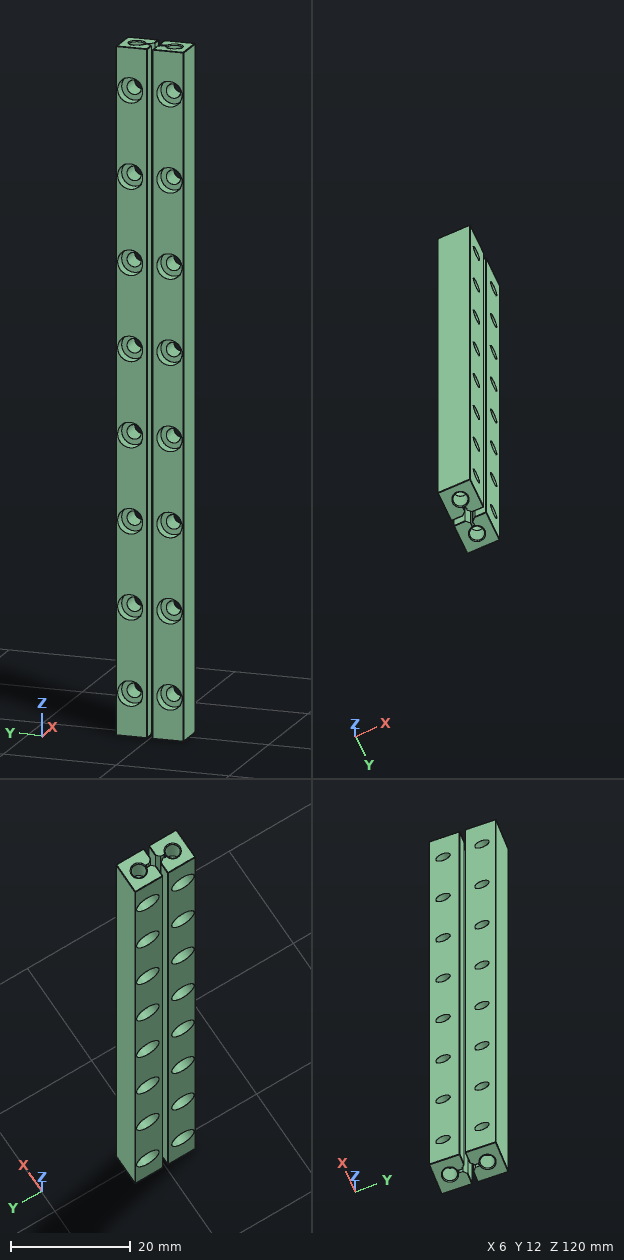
import cadquery as cq

LENGTH = 120.0
THICKNESS = 6.0
PAIR_WIDTH = 12.0
RAIL_GAP = 1.0
RAIL_WIDTH = (PAIR_WIDTH - RAIL_GAP) / 2
EDGE_CHAMFER = 0.1

OUTER_FACE_Y = -PAIR_WIDTH / 2
INNER_FACE_Y = -RAIL_GAP / 2

RACEWAY_MOUTH = 1.8
RACEWAY_DEPTH = RACEWAY_MOUTH / 2
RELIEF_WIDTH = 0.5
RELIEF_DEPTH = 1.3

HOLE_COUNT = 8
HOLE_PITCH = LENGTH / HOLE_COUNT
HOLE_DIAMETER = 2.5
COUNTERBORE_DIAMETER = 4.5
COUNTERBORE_DEPTH = 2.0
HOLE_Y = OUTER_FACE_Y + 2.5

END_HOLE_DIAMETER = 2.5
END_COUNTERSINK_DIAMETER = 2.9
END_HOLE_DEPTH = 4.8
DRILL_POINT_DEPTH = 1.2
END_HOLE_Y = OUTER_FACE_Y + 2.6


def rail_bar():
    """Plain bar of the front rail with all its edges broken."""
    bar = cq.Workplane("XY").box(THICKNESS, RAIL_WIDTH, LENGTH)
    bar = bar.edges().chamfer(EDGE_CHAMFER)
    return bar.translate((0, (OUTER_FACE_Y + INNER_FACE_Y) / 2, 0))


def raceway():
    """V groove and relief slot along the whole inner face."""
    vee = (
        cq.Workplane("XY", origin=(0, INNER_FACE_Y, -LENGTH / 2))
        .moveTo(-RACEWAY_MOUTH / 2, 0)
        .lineTo(0, -RACEWAY_DEPTH)
        .lineTo(RACEWAY_MOUTH / 2, 0)
        .close()
        .extrude(LENGTH)
    )
    relief = cq.Workplane("XY").box(RELIEF_WIDTH, RELIEF_DEPTH, LENGTH)
    return vee.union(relief.translate((0, INNER_FACE_Y - RELIEF_DEPTH / 2, 0)))


def mounting_hole(z):
    """Through hole along X with its counterbore on the -X face."""
    start = cq.Workplane("YZ", origin=(-THICKNESS / 2, HOLE_Y, z))
    bore = start.circle(HOLE_DIAMETER / 2).extrude(THICKNESS)
    counterbore = start.circle(COUNTERBORE_DIAMETER / 2).extrude(COUNTERBORE_DEPTH)
    return bore.union(counterbore)


def upper_end_hole():
    """Drilled hole in the upper end: 45 degree countersink, bore and drill point."""
    radius = END_HOLE_DIAMETER / 2
    mouth_radius = END_COUNTERSINK_DIAMETER / 2
    return (
        cq.Workplane("XZ")
        .lineTo(mouth_radius, 0)
        .lineTo(radius, radius - mouth_radius)
        .lineTo(radius, -END_HOLE_DEPTH)
        .lineTo(0, -END_HOLE_DEPTH - DRILL_POINT_DEPTH)
        .close()
        .revolve(360, (0, 0, 0), (0, 1, 0))
        .translate((0, END_HOLE_Y, LENGTH / 2))
    )


def front_rail():
    """Finished rail on the -Y side of the pair."""
    rail = rail_bar().cut(raceway())
    first_hole_z = (HOLE_PITCH - LENGTH) / 2
    for index in range(HOLE_COUNT):
        rail = rail.cut(mounting_hole(first_hole_z + index * HOLE_PITCH))
    end_hole = upper_end_hole()
    return rail.cut(end_hole).cut(end_hole.mirror("XY"))


def rear_rail():
    """Mirror image of the front rail, raceways facing each other."""
    return front_rail().mirror("XZ")


rails = [front_rail(), rear_rail()]
result = cq.Compound.makeCompound([rail.solids().val() for rail in rails])